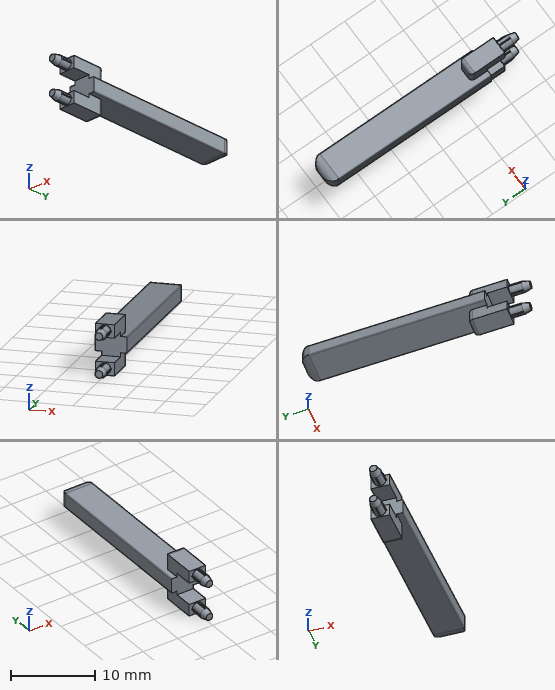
import cadquery as cq
import math

bar_width = 3.96
bar_height = 2.03
bar_length = 23.57
bar_edge_radius = 0.1

nose_length = 1.27
nose_side_rounding = 1.5
nose_top_rounding = 0.87

fork_width = 2.36
fork_height = 6.35
fork_back_depth = 2.41
fork_back_radius = 0.55
leg_height = 1.65
leg_length = 2.54

pin_length = 2.54
pin_radius = 0.7
pin_rib_radius = leg_height / 2
pin_rib_angle = 60
pin_tip_radius = 0.47
pin_taper_length = 0.9

leg_center_z = (fork_height - leg_height) / 2


def make_nose_cutter(plane, full_size, corner_size, depth):
    """Prism through the bar whose +Y end has elliptical corners; its sketch runs along Y then across."""
    half_size = full_size / 2
    half_tip = half_size - corner_size
    shoulder_y = bar_length - nose_length
    return (
        cq.Workplane(plane)
        .workplane(offset=-depth / 2)
        .moveTo(0, -half_size)
        .lineTo(shoulder_y, -half_size)
        .ellipseArc(nose_length, corner_size, 270, 360)
        .lineTo(bar_length, half_tip)
        .ellipseArc(nose_length, corner_size, 0, 90)
        .lineTo(0, half_size)
        .close()
        .extrude(depth)
    )


def make_bar():
    """Bar with softened long edges and a far end rounded in plan and in profile."""
    bar = (
        cq.Workplane("XY")
        .box(bar_width, bar_length, bar_height, centered=(True, False, True))
        .edges("|Y")
        .fillet(bar_edge_radius)
    )
    plan_plane = cq.Plane(origin=(0, 0, 0), xDir=(0, 1, 0), normal=(0, 0, 1))
    plan = make_nose_cutter(plan_plane, bar_width, nose_side_rounding, bar_height)
    profile = make_nose_cutter("YZ", bar_height, nose_top_rounding, bar_width)
    return bar.intersect(plan).intersect(profile)


def make_fork():
    """U-shaped fork with the gap between the legs open towards -Y."""
    fork_length = leg_length + fork_back_depth
    gap_height = fork_height - 2 * leg_height
    fork = (
        cq.Workplane("XY")
        .box(fork_width, fork_length, fork_height, centered=(True, False, True))
        .translate((0, -leg_length, 0))
        .faces(">Y")
        .edges()
        .fillet(fork_back_radius)
    )
    gap = (
        cq.Workplane("XY")
        .box(fork_width, leg_length, gap_height, centered=(True, False, True))
        .translate((0, -leg_length, 0))
    )
    return fork.cut(gap)


def make_pin(center_z):
    """Round pin with four sharp ribs, tapered to a flat tip."""
    root = cq.Workplane("XZ", origin=(0, -leg_length, center_z))
    core = root.circle(pin_radius).extrude(pin_length)

    half_width = pin_rib_radius * math.tan(math.radians(pin_rib_angle / 2))
    rhombus = [(pin_rib_radius, 0), (0, half_width), (-pin_rib_radius, 0), (0, -half_width)]
    side_ribs = root.polyline(rhombus).close().extrude(pin_length)
    pin_axis = ((0, 0, center_z), (0, 1, center_z))
    upright_ribs = side_ribs.rotate(*pin_axis, 90)

    taper_slope = (pin_radius - pin_tip_radius) / pin_taper_length
    cone_root_radius = pin_tip_radius + taper_slope * pin_length
    cone = (
        cq.Workplane("XY")
        .polyline([(0, 0), (cone_root_radius, 0), (pin_tip_radius, -pin_length), (0, -pin_length)])
        .close()
        .revolve(360, (0, 0, 0), (0, 1, 0))
        .translate((0, -leg_length, center_z))
    )
    return core.union(side_ribs).union(upright_ribs).intersect(cone)


result = make_bar().union(make_fork())
for side in (1, -1):
    result = result.union(make_pin(side * leg_center_z))